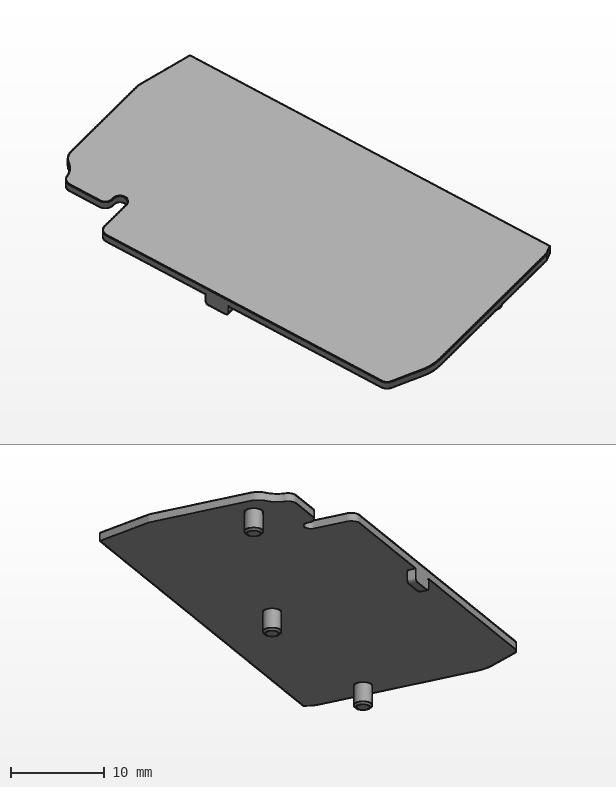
import cadquery as cq
import math

LENGTH = 49.88
WIDTH = 26.75
THICKNESS = 1.0
TOP_CHAMFER = 0.07
CORNER_RADIUS = 1.0

LEFT_SLOPE_HEIGHT = 6.85
LEFT_SLOPE_ANGLE = math.radians(15)
RIGHT_SLOPE_WIDTH = 0.4
RIGHT_SLOPE_HEIGHT = 1.2

LOWER_SLOPE_ANGLE = math.radians(26)
LOWER_SLOPE_WIDTH = 2.5
LOWER_SLOPE_BLEND = 5.0

SLOT_RADIUS = 0.8
SLOT_RIGHT = 9.4
SLOT_CENTER_Y = 4.9
LEDGE_Y = 3.7

S_START_Y = 7.78
S_MIDDLE = (0.8, 6.24)
S_END = (1.76, 4.86)
S_TAIL_ANGLE = math.radians(10)

PIN_RADIUS = 1.0
PIN_LENGTH = 2.5
PIN_CHAMFER = 0.25
LOWER_PIN_Y = 8.77
UPPER_PIN_Y = 18.75
PIN_CENTERS = [(2.75, LOWER_PIN_Y), (26.5, UPPER_PIN_Y), (47.75, UPPER_PIN_Y)]

TAB_LEFT = 23.5
TAB_LENGTH = 3.0
TAB_DEPTH = 1.0
TAB_HEIGHT = 1.45
TAB_RADIUS = 0.4


def plate():
    left_slope_width = LEFT_SLOPE_HEIGHT * math.tan(LEFT_SLOPE_ANGLE)
    lower_slope_height = LOWER_SLOPE_WIDTH / math.tan(LOWER_SLOPE_ANGLE)
    ledge_left = S_END[0] + (S_END[1] - LEDGE_Y) * math.tan(S_TAIL_ANGLE)
    slot_left = SLOT_RIGHT - 2 * SLOT_RADIUS
    slot_top = (slot_left + SLOT_RADIUS, SLOT_CENTER_Y + SLOT_RADIUS)
    body = (
        cq.Workplane("XY")
        .moveTo(left_slope_width, WIDTH)
        .lineTo(0, WIDTH - LEFT_SLOPE_HEIGHT)
        .lineTo(0, S_START_Y)
        .tangentArcPoint(S_MIDDLE, relative=False)
        .tangentArcPoint(S_END, relative=False)
        .lineTo(ledge_left, LEDGE_Y)
        .lineTo(slot_left, LEDGE_Y)
        .lineTo(slot_left, SLOT_CENTER_Y)
        .threePointArc(slot_top, (SLOT_RIGHT, SLOT_CENTER_Y))
        .lineTo(SLOT_RIGHT, 0)
        .lineTo(LENGTH - LOWER_SLOPE_WIDTH, 0)
        .lineTo(LENGTH, lower_slope_height)
        .lineTo(LENGTH, WIDTH - RIGHT_SLOPE_HEIGHT)
        .lineTo(LENGTH - RIGHT_SLOPE_WIDTH, WIDTH)
        .close()
        .extrude(THICKNESS)
    )
    corners = [
        (ledge_left, LEDGE_Y, CORNER_RADIUS),
        (slot_left, LEDGE_Y, CORNER_RADIUS),
        (SLOT_RIGHT, 0, CORNER_RADIUS),
        (LENGTH - LOWER_SLOPE_WIDTH, 0, CORNER_RADIUS),
        (LENGTH, lower_slope_height, LOWER_SLOPE_BLEND),
    ]
    for x, y, radius in corners:
        body = body.edges(cq.NearestToPointSelector((x, y, THICKNESS / 2))).fillet(radius)
    return body.faces(">Z").edges().chamfer(TOP_CHAMFER)


def pin(center):
    return (
        cq.Workplane("XY")
        .center(*center)
        .circle(PIN_RADIUS)
        .extrude(-PIN_LENGTH)
        .faces("<Z")
        .chamfer(PIN_CHAMFER)
    )


def tab():
    return (
        cq.Workplane("XY")
        .box(TAB_LENGTH, TAB_DEPTH, TAB_HEIGHT, centered=False)
        .translate((TAB_LEFT, 0, -TAB_HEIGHT))
        .edges("|Y and <Z")
        .fillet(TAB_RADIUS)
    )


result = plate().union(tab())
for pin_center in PIN_CENTERS:
    result = result.union(pin(pin_center))